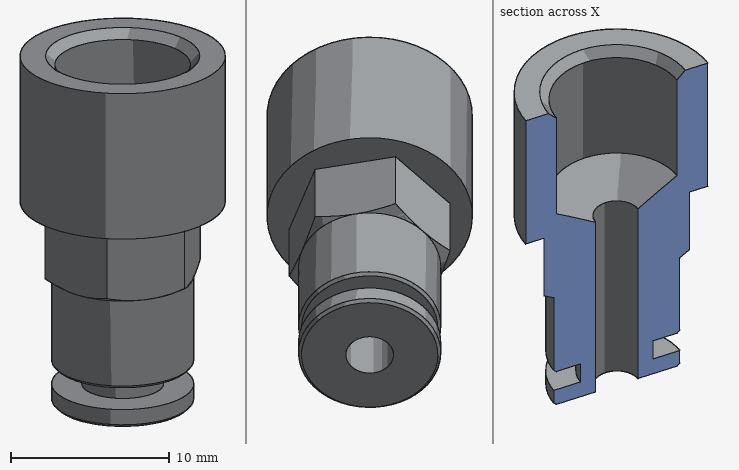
import cadquery as cq
import math

total_height = 23.5
collar_top = 1.22
neck_top = 2.63
sleeve_top = 8.6
hex_top = 13.6

socket_diameter = 13.0
sleeve_diameter = 9.0
neck_diameter = 5.2
hex_across_flats = sleeve_diameter
edge_chamfer = 0.19
hex_chamfer_angle = 30.0

passage_diameter = 3.0
bore_diameter = 8.58
bore_mouth_diameter = 9.75
bore_mouth_depth = (bore_mouth_diameter - bore_diameter) / 2
drill_point_angle = 118.0


def cylinder(diameter, bottom, top):
    """Upright cylinder on the Z axis between two heights."""
    return cq.Workplane("XY").workplane(offset=bottom).circle(diameter / 2).extrude(top - bottom)


def hex_section():
    """Hexagon with corners on the Y axis, its lower corners turned to a shallow cone."""
    across_corners = hex_across_flats / math.cos(math.radians(30))
    corner_rise = (across_corners - sleeve_diameter) / 2 * math.tan(math.radians(hex_chamfer_angle))
    prism = (
        cq.Workplane("XY")
        .workplane(offset=sleeve_top)
        .transformed(rotate=(0, 0, 90))
        .polygon(6, across_corners)
        .extrude(hex_top - sleeve_top)
    )
    turned_blank = (
        cq.Workplane("XZ")
        .moveTo(0, sleeve_top)
        .lineTo(sleeve_diameter / 2, sleeve_top)
        .lineTo(across_corners / 2, sleeve_top + corner_rise)
        .lineTo(across_corners / 2, hex_top)
        .lineTo(0, hex_top)
        .close()
        .revolve(360, (0, 0), (0, 1))
    )
    return prism.intersect(turned_blank)


def stepped_bore():
    """Through passage opening by a drill cone into a bore with a chamfered mouth."""
    passage_radius = passage_diameter / 2
    bore_radius = bore_diameter / 2
    cone_height = (bore_radius - passage_radius) / math.tan(math.radians(drill_point_angle / 2))
    return (
        cq.Workplane("XZ")
        .lineTo(passage_radius, 0)
        .lineTo(passage_radius, hex_top)
        .lineTo(bore_radius, hex_top + cone_height)
        .lineTo(bore_radius, total_height - bore_mouth_depth)
        .lineTo(bore_mouth_diameter / 2, total_height)
        .lineTo(0, total_height)
        .close()
        .revolve(360, (0, 0), (0, 1))
    )


collar = cylinder(sleeve_diameter, 0, collar_top).faces("<Z").edges().chamfer(edge_chamfer)
neck = cylinder(neck_diameter, collar_top, neck_top)
sleeve = cylinder(sleeve_diameter, neck_top, sleeve_top).faces("<Z").edges().chamfer(edge_chamfer)
socket = cylinder(socket_diameter, hex_top, total_height)

result = collar.union(neck).union(sleeve).union(hex_section()).union(socket).cut(stepped_bore())